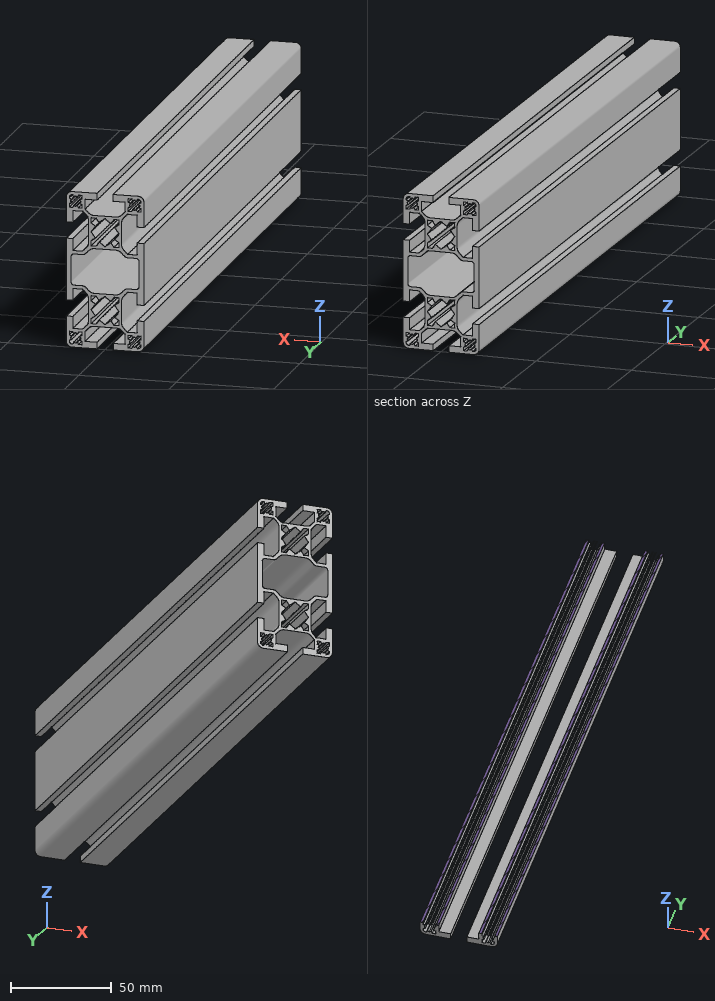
import cadquery as cq

width = 40.0
height = 80.0
length = 300.0
corner_radius = 3.0

slot_opening = 8.2
lip_thickness = 3.5
slot_half_width = 10.25

core_half_size = 8.5
core_wall = 1.35
core_ridge_half_base = 4.6
core_tip_offset = 3.05
core_ridge_height = 2.25
core_notch_depth = core_ridge_height

box_wall = 1.65
box_cavity_radius = 1.5
box_ridge_half_base = 1.5
box_tip_offset = 0.95
box_ridge_height = 1.1
box_notch_depth = 0.5

strut_edge_shift = 1.2
brace_edge_shift = 1.4
core_fillet_radius = 4.0

side_wall = 2.6
web_thickness = 1.75
brace_fillet_radius = 2.5
wall_fillet_radius = 1.5

half_width = width / 2
half_height = height / 2
half_opening = slot_opening / 2
core_z = half_height - half_width
core_cavity_half = core_half_size - core_wall
box_size = half_width - slot_half_width
box_edge_x = half_width - box_size
box_edge_z = half_height - box_size
web_top_z = core_z - slot_half_width
web_bottom_z = web_top_z - web_thickness
web_depth = core_z - web_bottom_z
side_wall_inner_x = half_width - side_wall
strut_root = core_half_size - strut_edge_shift
brace_root = core_half_size - brace_edge_shift
brace_foot_x = web_depth - brace_edge_shift


def prism(points):
    """Extrude a closed XZ outline over the full length."""
    return cq.Workplane("XZ").polyline(points).close().extrude(length / 2, both=True)


def bar(x_min, x_max, z_min, z_max):
    """Full-length rectangular bar."""
    return prism([(x_min, z_min), (x_max, z_min), (x_max, z_max), (x_min, z_max)])


def fillet_lengthwise_edge(body, x, z, radius):
    """Round the edge that runs along Y through (x, z)."""
    edge = cq.selectors.NearestToPointSelector((x, 0, z))
    return body.edges("|Y").edges(edge).fillet(radius)


def two_tip_ridge(half_base, tip_offset, ridge_height, notch_depth):
    """Points (along the side, inward from it) of a ridge with two tips and a notch between."""
    return [
        (-half_base, 0),
        (-tip_offset, ridge_height),
        (0, ridge_height - notch_depth),
        (tip_offset, ridge_height),
        (half_base, 0),
    ]


def ridged_square(center_x, center_z, half_size, ridge):
    """Square cavity with the same ridge standing on each of its four sides."""
    side = [(-half_size, -half_size)]
    side += [(along, inward - half_size) for along, inward in ridge]
    outline = []
    for _ in range(4):
        outline += [(center_x + x, center_z + z) for x, z in side]
        side = [(-z, x) for x, z in side]
    return prism(outline)


def core():
    """Right half of the square core, with its ridged cavity."""
    block = bar(0, core_half_size, core_z - core_half_size, core_z + core_half_size)
    ridge = two_tip_ridge(
        core_ridge_half_base, core_tip_offset, core_ridge_height, core_notch_depth
    )
    return block.cut(ridged_square(0, core_z, core_cavity_half, ridge))


def corner_box():
    """Rounded outer corner with its ridged cavity."""
    box = bar(box_edge_x, half_width, box_edge_z, half_height)
    box = box.edges("|Y and >X and >Z").fillet(corner_radius)
    ridge = two_tip_ridge(
        box_ridge_half_base, box_tip_offset, box_ridge_height, box_notch_depth
    )
    cavity = ridged_square(
        half_width - box_size / 2,
        half_height - box_size / 2,
        box_size / 2 - box_wall,
        ridge,
    )
    cavity = fillet_lengthwise_edge(cavity, half_width, half_height, box_cavity_radius)
    return box.cut(cavity)


def lips():
    """Lips bordering the slot openings."""
    lip_x = half_width - lip_thickness
    end_lip = bar(half_opening, box_edge_x, half_height - lip_thickness, half_height)
    side_lip = bar(lip_x, half_width, core_z + half_opening, box_edge_z)
    middle_lip = bar(lip_x, half_width, web_bottom_z, core_z - half_opening)
    return [end_lip, side_lip, middle_lip]


def diagonal_strut():
    """Thin strut from the core corner into the corner box."""
    strut_end = slot_half_width + box_wall / 2
    upper = [
        (strut_end - strut_edge_shift / 2, strut_end + strut_edge_shift / 2),
        (strut_root, core_half_size),
    ]
    lower = [(z, x) for x, z in reversed(upper)]
    outline = upper + [(core_cavity_half, core_cavity_half)] + lower
    return prism([(x, core_z + z) for x, z in outline])


def chamber_wall():
    """Side wall, web and sloping brace around one quarter of the central chamber."""
    wall = bar(side_wall_inner_x, half_width, 0, web_top_z)
    web = bar(brace_foot_x, half_width, web_bottom_z, web_top_z)
    brace = prism([
        (core_half_size, core_z - brace_root),
        (slot_half_width + brace_edge_shift, web_top_z),
        (slot_half_width + brace_edge_shift, web_bottom_z),
        (brace_foot_x, web_bottom_z),
        (brace_root, core_z - core_half_size),
        (core_cavity_half, core_z - core_cavity_half),
    ])
    return [wall, web, brace]


quarter = core().union(corner_box()).union(diagonal_strut())
for piece in lips() + chamber_wall():
    quarter = quarter.union(piece)
quarter = quarter.clean()

rounded_edges = [
    (strut_root, core_z + core_half_size, core_fillet_radius),
    (core_half_size, core_z + strut_root, core_fillet_radius),
    (core_half_size, core_z - brace_root, core_fillet_radius),
    (brace_root, core_z - core_half_size, core_fillet_radius),
    (brace_foot_x, web_bottom_z, brace_fillet_radius),
    (side_wall_inner_x, web_bottom_z, wall_fillet_radius),
]
for edge_x, edge_z, radius in rounded_edges:
    quarter = fillet_lengthwise_edge(quarter, edge_x, edge_z, radius)

upper_half = quarter.union(quarter.mirror("YZ"))
result = upper_half.union(upper_half.mirror("XY")).clean()